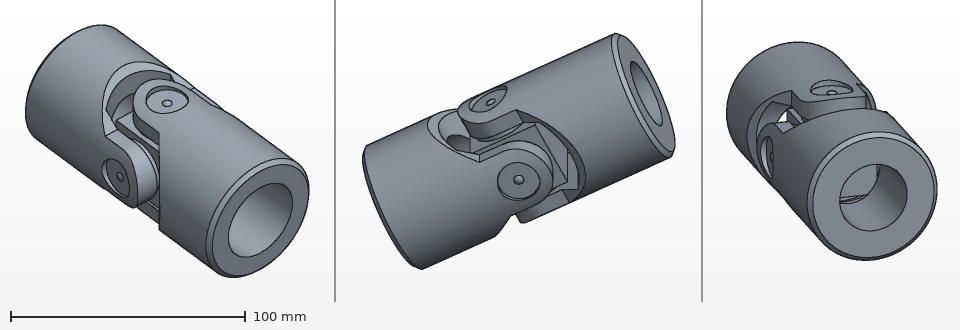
import cadquery as cq
import math

joint_length = 122.0
barrel_diameter = 58.0
left_bore_diameter = 30.0
right_bore_diameter = 36.0
end_chamfer = 2.0

ear_half_width = 14.5
ear_gap = 36.1
shoulder_start = 11.5
shoulder_end = 28.9
fork_depth = 25.3
fork_floor_radius = 29.3

block_size = 31.1
block_depth = 30.6
boss_diameter = 26.0
pin_diameter = 18.0
pin_length = 52.8
dome_diameter = 4.3
dome_height = 0.9

half_length = joint_length / 2
barrel_radius = barrel_diameter / 2


def barrel():
    """Chamfered cylinder from the outer end at -X to the ear tips."""
    return (
        cq.Workplane("YZ", origin=(-half_length, 0, 0))
        .circle(barrel_radius)
        .extrude(half_length + ear_half_width)
        .faces("<X")
        .chamfer(end_chamfer)
    )


def ear_profile():
    """Prism along Y that leaves the full barrel, its sloped shoulders and the round ear tips."""
    return (
        cq.Workplane("XZ")
        .moveTo(-half_length, -barrel_radius)
        .lineTo(-shoulder_end, -barrel_radius)
        .lineTo(-shoulder_start, -ear_half_width)
        .lineTo(0, -ear_half_width)
        .threePointArc((ear_half_width, 0), (0, ear_half_width))
        .lineTo(-shoulder_start, ear_half_width)
        .lineTo(-shoulder_end, barrel_radius)
        .lineTo(-half_length, barrel_radius)
        .close()
        .extrude(barrel_radius, both=True)
    )


def fork_gap():
    """Gap between the ears, with a concave floor curved about Z."""
    half_gap = ear_gap / 2
    floor_sagitta = fork_floor_radius - math.sqrt(fork_floor_radius**2 - half_gap**2)
    floor_edge = -fork_depth + floor_sagitta
    return (
        cq.Workplane("XY")
        .moveTo(ear_half_width, -half_gap)
        .lineTo(floor_edge, -half_gap)
        .threePointArc((-fork_depth, 0), (floor_edge, half_gap))
        .lineTo(ear_half_width, half_gap)
        .close()
        .extrude(barrel_radius, both=True)
    )


def bore(diameter):
    """Shaft bore from the outer end through to the fork gap."""
    return (
        cq.Workplane("YZ", origin=(-half_length, 0, 0))
        .circle(diameter / 2)
        .extrude(half_length)
    )


def pin_holes():
    """Hinge holes through both ears, along Y."""
    return cq.Workplane("XZ").circle(pin_diameter / 2).extrude(barrel_radius, both=True)


def yoke(bore_diameter):
    """Yoke with the given shaft bore, built on the -X side, with its ears on the Y axis."""
    body = barrel().intersect(ear_profile())
    return body.cut(fork_gap()).cut(bore(bore_diameter)).cut(pin_holes())


def cross_arm():
    """Both bosses and both domed pins along Z."""
    bosses = cq.Workplane("XY").circle(boss_diameter / 2).extrude(ear_gap / 2, both=True)
    pins = cq.Workplane("XY").circle(pin_diameter / 2).extrude(pin_length / 2, both=True)
    dome = (
        cq.Workplane("XZ")
        .moveTo(0, 0)
        .lineTo(0, pin_length / 2 + dome_height)
        .threePointArc(*dome_arc_points())
        .lineTo(dome_diameter / 2, 0)
        .close()
        .revolve(360, (0, 0, 0), (0, 1, 0))
    )
    return bosses.union(pins).union(dome).union(dome.mirror("XY"))


def dome_arc_points():
    """Middle and outer points of the dome arc, in the plane of the pin axis."""
    rim_radius = dome_diameter / 2
    sphere_radius = (rim_radius**2 + dome_height**2) / (2 * dome_height)
    sphere_center = pin_length / 2 + dome_height - sphere_radius
    middle_angle = math.asin(rim_radius / sphere_radius) / 2
    middle = (
        sphere_radius * math.sin(middle_angle),
        sphere_center + sphere_radius * math.cos(middle_angle),
    )
    return middle, (rim_radius, pin_length / 2)


def cross():
    """Central block with one arm along Z and one along Y."""
    arm = cross_arm()
    block = cq.Workplane("XY").box(block_size, block_depth, block_size)
    return block.union(arm).union(arm.rotate((0, 0, 0), (1, 0, 0), 90))


yokes = []
for bore_diameter, end_turn, ear_turn in ((left_bore_diameter, 0, 0), (right_bore_diameter, 180, 90)):
    placed = (
        yoke(bore_diameter)
        .rotate((0, 0, 0), (0, 0, 1), end_turn)
        .rotate((0, 0, 0), (1, 0, 0), ear_turn)
    )
    yokes.append(placed.val())

result = cq.Compound.makeCompound([*yokes, cross().val()])